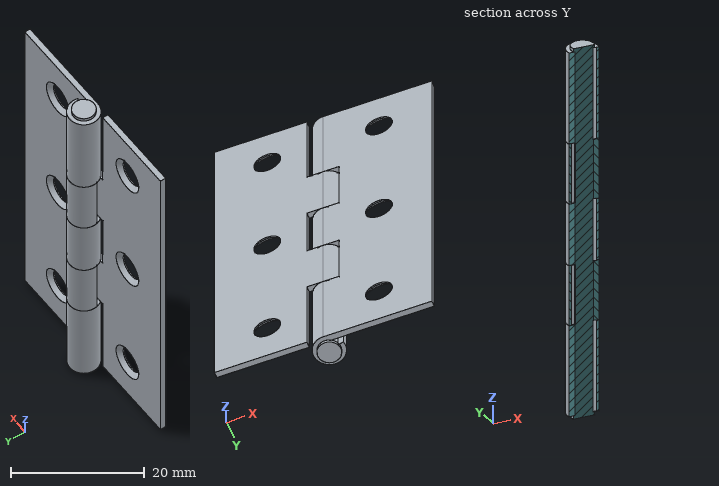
import cadquery as cq
import math


pin_length = 61.1
leaf_height = 60.0
hinge_width = 35.0
leaf_width = hinge_width / 2

pin_diameter = 3.2
head_diameter = 3.7
knuckle_diameter = 5.2
pin_radius = pin_diameter / 2
knuckle_radius = knuckle_diameter / 2
sheet_thickness = knuckle_radius - pin_radius
roll_end_angle = 15.0

inner_knuckle_height = 9.85
middle_knuckle_height = 10.2
end_knuckle_height = (leaf_height - middle_knuckle_height) / 2 - inner_knuckle_height
inner_knuckle_z = (middle_knuckle_height + inner_knuckle_height) / 2
end_knuckle_z = (leaf_height - end_knuckle_height) / 2

screw_hole_diameter = 4.3
screw_hole_land = 0.25
countersink_depth = sheet_thickness - screw_hole_land
countersink_diameter = screw_hole_diameter + 2 * countersink_depth
screw_hole_x = 9.0
screw_hole_z_pitch = 22.5


def point_on_roll(radius, angle_degrees):
    """Point at a polar angle around the pin axis."""
    angle = math.radians(angle_degrees)
    return (radius * math.cos(angle), radius * math.sin(angle))


def make_knuckle(center_z, height):
    """Strip of sheet rolled around the pin, joined to a leaf on the +X side."""
    profile = (
        cq.Workplane("XY")
        .moveTo(0, -knuckle_radius)
        .threePointArc((-knuckle_radius, 0), point_on_roll(knuckle_radius, -roll_end_angle))
        .lineTo(*point_on_roll(pin_radius, -roll_end_angle))
        .threePointArc((-pin_radius, 0), (0, -pin_radius))
        .lineTo(knuckle_radius, -pin_radius)
        .lineTo(knuckle_radius, -knuckle_radius)
        .close()
    )
    return profile.extrude(height).translate((0, 0, center_z - height / 2))


def make_screw_hole(center_z):
    """Cutting body for a hole that is countersunk on the face towards the knuckles."""
    flat_face = cq.Workplane("XZ", origin=(screw_hole_x, -knuckle_radius, center_z))
    hole = flat_face.circle(screw_hole_diameter / 2).extrude(-sheet_thickness)
    countersink = (
        flat_face.workplane(offset=-sheet_thickness)
        .circle(countersink_diameter / 2)
        .workplane(offset=countersink_depth)
        .circle(screw_hole_diameter / 2)
        .loft(ruled=True)
    )
    return hole.union(countersink)


def make_leaf(knuckles):
    """Leaf on the +X side, with a rolled knuckle for each (center_z, height)."""
    leaf = cq.Workplane("XY").box(
        leaf_width - knuckle_radius, sheet_thickness, leaf_height, centered=(False, False, True)
    ).translate((knuckle_radius, -knuckle_radius, 0))
    for center_z, height in knuckles:
        leaf = leaf.union(make_knuckle(center_z, height))

    for row in (-1, 0, 1):
        leaf = leaf.cut(make_screw_hole(row * screw_hole_z_pitch))
    return leaf


def make_pin():
    """Round pin with a low riveted head beyond each end of the leaves."""
    shank = cq.Workplane("XY").circle(pin_radius).extrude(leaf_height / 2, both=True)
    head_height = (pin_length - leaf_height) / 2
    head = (
        cq.Workplane("XY")
        .workplane(offset=leaf_height / 2)
        .circle(head_diameter / 2)
        .extrude(head_height)
    )
    return shank.union(head).union(head.mirror("XY"))


right_leaf = make_leaf([
    (-end_knuckle_z, end_knuckle_height),
    (0, middle_knuckle_height),
    (end_knuckle_z, end_knuckle_height),
])
left_leaf = make_leaf([
    (-inner_knuckle_z, inner_knuckle_height),
    (inner_knuckle_z, inner_knuckle_height),
]).mirror("YZ")
pin = make_pin()

result = cq.Compound.makeCompound([right_leaf.val(), left_leaf.val(), pin.val()])